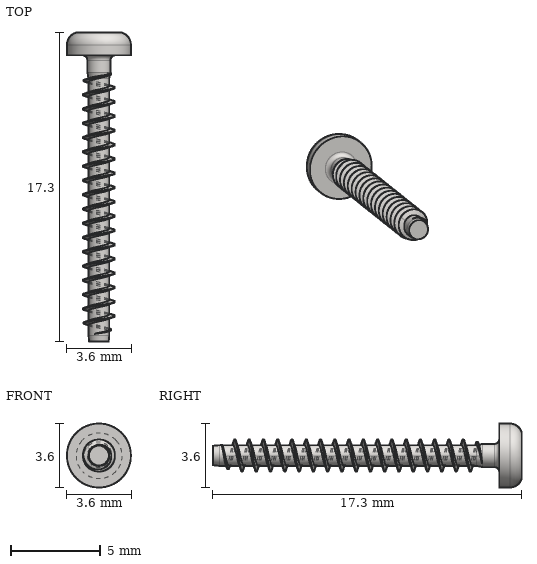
import cadquery as cq
import math

head_radius = 1.8
head_height = 1.28
head_rim_height = 0.59
head_top_radius = 1.28

overall_length = 17.3
shank_length = overall_length - head_height
neck_radius = 0.65
neck_end = 0.93
neck_fillet = 0.26
core_radius = 0.59
core_start = 1.28
tip_radius = 0.55
tip_taper = 0.35

thread_radius = 0.9
thread_start = 1.49
thread_turns = 16.8
thread_length = 13.42
pitch = thread_length / thread_turns
start_angle = -0.4 * 360
crest_width = 0.03
flank_angle = 16.0
root_overlap = 0.07
fade_turns = 1.0
fade_depth = 0.35

root_radius = core_radius - root_overlap


def head_and_shank():
    """Revolved body of head, neck and core, with its axis along Y."""
    dome_rise = head_height - head_rim_height
    dome_inset = head_radius - head_top_radius
    dome_radius = (dome_rise**2 + dome_inset**2) / (2 * dome_inset)
    half_sweep = math.asin(dome_rise / dome_radius) / 2
    dome_middle = (
        head_radius - dome_radius * (1 - math.cos(half_sweep)),
        head_rim_height + dome_radius * math.sin(half_sweep),
    )
    fillet_middle = neck_fillet * (1 - math.sqrt(0.5))
    return (
        cq.Workplane("XY")
        .moveTo(0, head_height)
        .lineTo(head_top_radius, head_height)
        .threePointArc(dome_middle, (head_radius, head_rim_height))
        .lineTo(head_radius, 0)
        .lineTo(neck_radius + neck_fillet, 0)
        .threePointArc((neck_radius + fillet_middle, -fillet_middle), (neck_radius, -neck_fillet))
        .lineTo(neck_radius, -neck_end)
        .lineTo(core_radius, -core_start)
        .lineTo(core_radius, tip_taper - shank_length)
        .lineTo(tip_radius, -shank_length)
        .lineTo(0, -shank_length)
        .close()
        .revolve(360, (0, 0, 0), (0, 1, 0))
    )


def swept_tooth(turns, cone_angle=360):
    """Thread tooth swept along a helix about Z, starting on the +X side at Z = 0.

    A cone angle of 360 gives a plain cylindrical helix.
    """
    half_crest = crest_width / 2
    half_root = half_crest + (thread_radius - root_radius) * math.tan(math.radians(flank_angle))
    height = turns * pitch
    slant_pitch = pitch / math.cos(math.radians(cone_angle))
    path = cq.Wire.makeHelix(slant_pitch, height, root_radius, angle=cone_angle)
    return (
        cq.Workplane("XZ")
        .moveTo(root_radius, -half_root)
        .lineTo(thread_radius, -half_crest)
        .lineTo(thread_radius, half_crest)
        .lineTo(root_radius, half_root)
        .close()
        .sweep(cq.Workplane(path), isFrenet=True)
    )


def thread():
    """Thread sections about Z, with Z measured from the head underside to the tip."""
    z_axis = ((0, 0, 0), (0, 0, 1))
    fade_angle = math.degrees(math.atan(fade_depth / (fade_turns * pitch)))
    end_angle = start_angle + thread_turns * 360
    full = swept_tooth(thread_turns).rotate(*z_axis, start_angle).translate((0, 0, thread_start))
    fade = swept_tooth(fade_turns, -fade_angle)
    tip_fade = fade.rotate(*z_axis, end_angle).translate((0, 0, thread_start + thread_length))
    head_fade = fade.rotate((0, 0, 0), (1, 0, 0), 180)
    head_fade = head_fade.rotate(*z_axis, start_angle).translate((0, 0, thread_start))
    return [full, tip_fade, head_fade]


result = head_and_shank()
for section in thread():
    result = result.union(section.rotate((0, 0, 0), (1, 0, 0), 90))